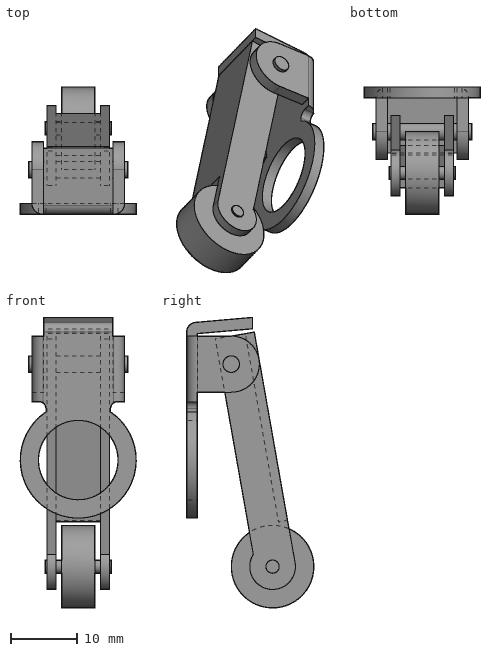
import cadquery as cq
import math

plate_thickness = 1.65
ring_diameter = 17.54
ring_bore = 12.0
neck_half_width = 4.9
relief_radius = 1.0

bracket_width = 14.0
bend_bottom = 8.8
flange_thickness = 1.75
flange_radius = 4.25
flange_length = 11.0
upper_pin_z = 14.5
upper_pin_y = flange_length - flange_radius
flange_top = upper_pin_z + flange_radius

tab_thickness = 1.75
tab_width = bracket_width - 2 * flange_thickness
tab_reach = 10.0
tab_tilt = math.radians(5)
tab_bend_radius = 1.5
tab_bend_start = 19.33

arm_tilt = 10.0
arm_width = 9.5
arm_depth = 6.0
arm_wall = 1.4
arm_end_radius = 3.45
arm_length = 35.4
web_start = 6.5

roller_diameter = 12.5
roller_width = 5.0
roller_y = 13.0
roller_z = -16.1
lower_pin_diameter = 2.0
lower_pin_length = 10.0
upper_pin_diameter = 2.5
upper_pin_length = 15.0


def side_profile(width, centre_x=0):
    """YZ sketch plane from which extruding by width gives a solid centred on centre_x."""
    return cq.Workplane("YZ", origin=(centre_x - width / 2, 0, 0))


def cross_cylinder(y, z, diameter, length):
    """Cylinder along X, centred on x = 0."""
    return side_profile(length).center(y, z).circle(diameter / 2).extrude(length)


def plate_prism(sketch):
    """Extrude an XZ sketch from the front face through the plate thickness."""
    return sketch.extrude(-plate_thickness)


def make_ring_plate():
    """Ring and neck, with a round relief beside the neck below each flange bend."""
    ring = plate_prism(cq.Workplane("XZ").circle(ring_diameter / 2))
    relief_end = neck_half_width + relief_radius
    relief_centre_z = bend_bottom - relief_radius
    arc_offset = relief_radius * math.sqrt(0.5)
    arc_middle_x = relief_end - arc_offset
    arc_middle_z = relief_centre_z + arc_offset
    neck = plate_prism(
        cq.Workplane("XZ")
        .moveTo(-neck_half_width, 0)
        .lineTo(neck_half_width, 0)
        .lineTo(neck_half_width, relief_centre_z)
        .threePointArc((arc_middle_x, arc_middle_z), (relief_end, bend_bottom))
        .lineTo(-relief_end, bend_bottom)
        .threePointArc((-arc_middle_x, arc_middle_z), (-neck_half_width, relief_centre_z))
        .close()
    )
    bore = plate_prism(cq.Workplane("XZ").circle(ring_bore / 2))
    return ring.union(neck).cut(bore)


def make_body():
    """Plate between the flanges, with its two vertical bend edges rounded."""
    half_width = bracket_width / 2
    flat_half_width = half_width - plate_thickness
    arc_offset = plate_thickness * math.sqrt(0.5)
    arc_middle_x = flat_half_width + arc_offset
    arc_middle_y = plate_thickness - arc_offset
    return (
        cq.Workplane("XY", origin=(0, 0, bend_bottom))
        .moveTo(-flat_half_width, 0)
        .lineTo(flat_half_width, 0)
        .threePointArc((arc_middle_x, arc_middle_y), (half_width, plate_thickness))
        .lineTo(-half_width, plate_thickness)
        .threePointArc((-arc_middle_x, arc_middle_y), (-flat_half_width, 0))
        .close()
        .extrude(flange_top - bend_bottom)
    )


def make_flange(side):
    """Round-ended lug behind one edge of the plate; side is -1 or +1."""
    centre_x = side * (bracket_width - flange_thickness) / 2
    return (
        side_profile(flange_thickness, centre_x)
        .moveTo(plate_thickness, upper_pin_z - flange_radius)
        .lineTo(upper_pin_y, upper_pin_z - flange_radius)
        .threePointArc((flange_length, upper_pin_z), (upper_pin_y, flange_top))
        .lineTo(plate_thickness, flange_top)
        .close()
        .extrude(flange_thickness)
    )


def make_tab():
    """Tab bent back over the arm, rising towards its free end."""
    rise = math.tan(tab_tilt)
    outer_end_y = tab_bend_radius * (1 - math.sin(tab_tilt))
    outer_end_z = tab_bend_start + tab_bend_radius * math.cos(tab_tilt)
    half_turn = (math.pi / 2 - tab_tilt) / 2
    arc_middle_y = tab_bend_radius * (1 - math.cos(half_turn))
    arc_middle_z = tab_bend_start + tab_bend_radius * math.sin(half_turn)
    tip_z = outer_end_z + (tab_reach - outer_end_y) * rise
    under_tip_z = tip_z - tab_thickness / math.cos(tab_tilt)
    inner_corner_z = under_tip_z - (tab_reach - plate_thickness) * rise
    return (
        side_profile(tab_width)
        .moveTo(0, bend_bottom)
        .lineTo(0, tab_bend_start)
        .threePointArc((arc_middle_y, arc_middle_z), (outer_end_y, outer_end_z))
        .lineTo(tab_reach, tip_z)
        .lineTo(tab_reach, under_tip_z)
        .lineTo(plate_thickness, inner_corner_z)
        .lineTo(plate_thickness, bend_bottom)
        .close()
        .extrude(tab_width)
    )


def make_arm():
    """Two legs joined by a rear web, built upright about the lower pin and then tilted."""
    back = arm_end_radius
    front = back - arm_depth
    inside_width = arm_width - 2 * arm_wall
    solid_arm = (
        side_profile(arm_width)
        .moveTo(front, 0)
        .lineTo(back, 0)
        .lineTo(back, arm_length)
        .lineTo(front, arm_length)
        .close()
        .extrude(arm_width)
        .union(cross_cylinder(0, 0, 2 * arm_end_radius, arm_width))
    )
    open_side = -arm_end_radius
    open_end = -arm_end_radius
    channel = (
        side_profile(inside_width)
        .moveTo(open_side, open_end)
        .lineTo(back, open_end)
        .lineTo(back, web_start)
        .lineTo(back - arm_wall, web_start)
        .lineTo(back - arm_wall, arm_length)
        .lineTo(open_side, arm_length)
        .close()
        .extrude(inside_width)
    )
    return (
        solid_arm.cut(channel)
        .rotate((0, 0, 0), (1, 0, 0), arm_tilt)
        .translate((0, roller_y, roller_z))
    )


bracket = make_ring_plate().union(make_body()).union(make_tab())
for side in (-1, 1):
    bracket = bracket.union(make_flange(side))

upper_pin = cross_cylinder(upper_pin_y, upper_pin_z, upper_pin_diameter, upper_pin_length)
lower_pin = cross_cylinder(roller_y, roller_z, lower_pin_diameter, lower_pin_length)
roller = cross_cylinder(roller_y, roller_z, roller_diameter, roller_width)

result = bracket.union(upper_pin).union(make_arm()).union(lower_pin).union(roller)